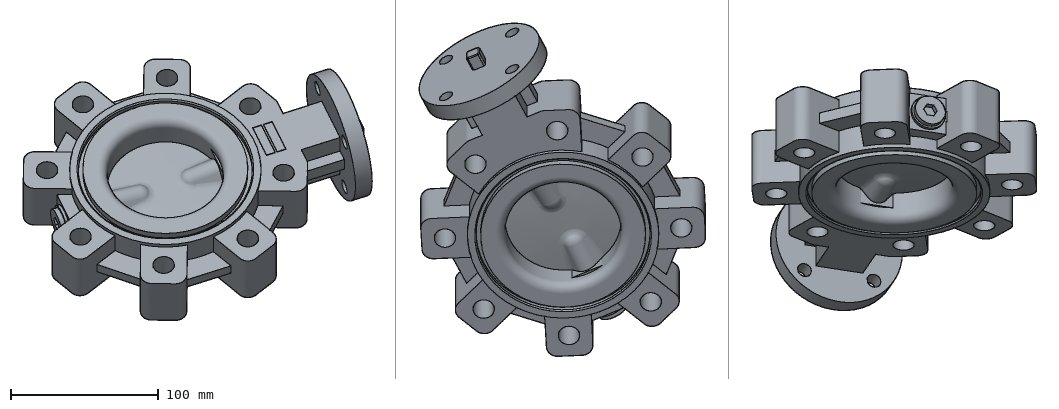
import cadquery as cq
import math


ring_radius = 64.7
ring_half_height = 23.0
liner_radius = 55.8
liner_half_height = 23.8
groove_radius = 58.8
groove_depth = 4.2
groove_chamfer = 1.0
bore_radius = 39.3
bore_rounding = 6.1

overall_length = 235.4

lug_count = 8
lug_pitch = 360 / lug_count
bolt_circle_radius = 80.0
bolt_hole_diameter = 14.4
lug_end_radius = 96.0
lug_half_width = 15.8
lug_corner_radius = 7.8
lug_half_height = 20.2
web_apothem = 79.8
web_thickness = 8.0

lug_angle = math.radians(lug_pitch / 2)
corner_center_along = lug_end_radius - lug_corner_radius
corner_center_across = lug_half_width - lug_corner_radius
lug_reach = (
    corner_center_along * math.cos(lug_angle)
    + corner_center_across * math.sin(lug_angle)
    + lug_corner_radius
)
shoulder_half_width = corner_center_along * math.sin(lug_angle) - corner_center_across * math.cos(lug_angle)

neck_width = 33.5
neck_rib_width = 49.0
neck_rib_thickness = 10.5
flange_radius = 45.0
flange_thickness = 12.2
flange_top = 132.7
flange_base = flange_top - flange_thickness
flange_hole_offset = 24.7
flange_hole_diameter = 9.6

stem_top = overall_length - lug_reach
stem_width = 10.0
stem_edge_chamfer = 1.2
stem_end_chamfer = 0.7

plate_length = 25.2
plate_width = 6.4
plate_height = 0.5
plate_centers = (79.5, 71.8)

boss_width = 26.1
boss_height = 27.5
boss_end = 73.7
collar_radius = 12.0
collar_end = 75.8
plug_radius = 10.5
plug_end = 79.3
socket_across_flats = 8.2
socket_depth = 4.0

disc_edge_half_thickness = 2.1
disc_center_half_thickness = 4.0
seat_flat = 37.7
seat_half_height = 13.5
hub_end = 40.0
hub_nose_center = 18.8
hub_side_slope = 0.87
hub_root_fillet = 5.0
hub_outer_section = (6.4, 8.7, 11.8)
hub_inner_section = (5.6, 6.8, 9.2)


def slab(width, y_start, y_end, height):
    """Box centred on X and Z that spans y_start to y_end."""
    return cq.Workplane("XY").box(width, y_end - y_start, height).translate((0, (y_start + y_end) / 2, 0))


def rod(radius, y_start, y_end):
    """Cylinder along Y."""
    return cq.Workplane("XZ", origin=(0, y_start, 0)).circle(radius).extrude(y_start - y_end)


def make_lugs():
    lugs = slab(2 * shoulder_half_width, 0, lug_reach, 2 * lug_half_height)
    for index in range(lug_count):
        lug = (
            cq.Workplane("XY")
            .box(lug_end_radius, 2 * lug_half_width, 2 * lug_half_height)
            .translate((lug_end_radius / 2, 0, 0))
            .edges("|Z and >X")
            .fillet(lug_corner_radius)
        )
        lugs = lugs.union(lug.rotate((0, 0, 0), (0, 0, 1), (index + 0.5) * lug_pitch))
    return lugs


def make_web():
    octagon = (
        cq.Workplane("XY")
        .polygon(lug_count, 2 * web_apothem, circumscribed=True)
        .extrude(web_thickness / 2, both=True)
    )
    return octagon.intersect(slab(2 * lug_end_radius, -boss_end, web_apothem, web_thickness))


def make_neck():
    neck = slab(neck_width, 0, flange_base, 2 * lug_half_height)
    neck = neck.union(slab(neck_rib_width, 0, flange_base, neck_rib_thickness))
    flange = (
        rod(flange_radius, flange_base, flange_top)
        .faces("<Y")
        .workplane(centerOption="CenterOfBoundBox")
        .rect(2 * flange_hole_offset, 2 * flange_hole_offset, forConstruction=True)
        .vertices()
        .hole(flange_hole_diameter)
    )
    stem = (
        slab(stem_width, flange_base, stem_top, stem_width)
        .edges("|Y")
        .chamfer(stem_edge_chamfer)
        .faces(">Y")
        .chamfer(stem_end_chamfer)
    )
    neck = neck.union(flange).union(stem)
    for center in plate_centers:
        plate = slab(plate_length, center - plate_width / 2, center + plate_width / 2, lug_half_height)
        neck = neck.union(plate.translate((0, 0, lug_half_height / 2 + plate_height)))
    return neck


def make_bottom_plug():
    boss = slab(boss_width, -boss_end, 0, boss_height)
    collar = rod(collar_radius, -collar_end, -boss_end)
    plug = rod(plug_radius, -plug_end, -collar_end)
    socket = (
        cq.Workplane("XZ", origin=(0, -plug_end, 0))
        .polygon(6, socket_across_flats, circumscribed=True)
        .extrude(-socket_depth)
        .rotate((0, 0, 0), (0, 1, 0), 30)
    )
    return boss.union(collar).union(plug).cut(socket)


def make_bore_opening():
    """Bore flared by a rounding tangent to the wall and to both liner faces."""
    flare_radius = bore_radius + bore_rounding
    flare_start = liner_half_height - bore_rounding
    middle = bore_rounding * math.sqrt(0.5)
    return (
        cq.Workplane("XZ")
        .moveTo(0, -liner_half_height)
        .lineTo(flare_radius, -liner_half_height)
        .threePointArc((flare_radius - middle, -flare_start - middle), (bore_radius, -flare_start))
        .lineTo(bore_radius, flare_start)
        .threePointArc((flare_radius - middle, flare_start + middle), (flare_radius, liner_half_height))
        .lineTo(0, liner_half_height)
        .close()
        .revolve(360, (0, 0, 0), (0, 1, 0))
    )


def make_groove():
    """Groove between ring and liner on the upper face, with a chamfered outer rim."""
    return (
        cq.Workplane("XZ")
        .moveTo(liner_radius, ring_half_height - groove_depth)
        .lineTo(groove_radius, ring_half_height - groove_depth)
        .lineTo(groove_radius, ring_half_height - groove_chamfer)
        .lineTo(groove_radius + groove_chamfer, ring_half_height)
        .lineTo(liner_radius, ring_half_height)
        .close()
        .revolve(360, (0, 0, 0), (0, 1, 0))
    )


def make_half_disc():
    """Upper half of the lens-shaped disc, cut flat at the ends of the stem hubs."""
    sagitta = disc_center_half_thickness - disc_edge_half_thickness
    dome_radius = (bore_radius**2 + sagitta**2) / (2 * sagitta)
    dome = cq.Workplane("XY").sphere(dome_radius).translate((0, 0, disc_center_half_thickness - dome_radius))
    blank = cq.Workplane("XY").circle(bore_radius + bore_rounding).extrude(2 * disc_center_half_thickness)
    return blank.intersect(dome).intersect(slab(4 * bore_radius, -hub_end, hub_end, bore_radius))


def hub_section(y, section):
    """Crowned trapezoid standing on the disc mid-plane."""
    half_width, side_height, crown_height = section
    foot = half_width + side_height * hub_side_slope
    return (
        cq.Workplane("XZ", origin=(0, y, 0))
        .moveTo(-foot, 0)
        .lineTo(foot, 0)
        .lineTo(half_width, side_height)
        .threePointArc((0, crown_height), (-half_width, side_height))
        .close()
    )


def make_upper_hub():
    """Tapered hub on the +Y half of the upper disc face, with a round nose."""
    outer = hub_section(hub_end, hub_outer_section).val()
    inner = hub_section(hub_nose_center, hub_inner_section).val()
    barrel = cq.Workplane(cq.Solid.makeLoft([inner, outer], True))
    half_width, side_height, crown_height = hub_inner_section
    crown_rise = crown_height - side_height
    crown_radius = (half_width**2 + crown_rise**2) / (2 * crown_rise)
    nose = (
        cq.Workplane("XZ", origin=(0, hub_nose_center, 0))
        .lineTo(half_width + side_height * hub_side_slope, 0)
        .lineTo(half_width, side_height)
        .radiusArc((0, crown_height), -crown_radius)
        .close()
        .revolve(360, (0, 0, 0), (0, 1, 0))
    )
    return barrel.union(nose)


def is_hub_root(edge):
    """True for the edges where a hub side or nose meets the disc face."""
    center = edge.Center()
    on_hub = abs(center.x) < hub_outer_section[0] + hub_outer_section[1]
    on_disc = disc_edge_half_thickness < center.z < disc_center_half_thickness
    return on_hub and on_disc and edge.geomType() == "BSPLINE"


def make_upper_disc():
    """Upper half of the disc with both hubs, its rim sunk into the liner."""
    hub = make_upper_hub()
    half_disc = make_half_disc().union(hub).union(hub.mirror("XZ"))
    roots = [edge for edge in half_disc.edges().vals() if is_hub_root(edge)]
    return half_disc.newObject(roots).fillet(hub_root_fillet)


def make_seat():
    """Block that gives the bore a flat wall where the stem passes through it."""
    width = 2 * math.sqrt(bore_radius**2 - seat_flat**2)
    return slab(width, seat_flat, bore_radius, 2 * seat_half_height)


ring = cq.Workplane("XY").circle(ring_radius).extrude(ring_half_height, both=True)
liner = cq.Workplane("XY").circle(liner_radius).extrude(liner_half_height, both=True)
groove = make_groove()
bolt_holes = (
    cq.Workplane("XY")
    .polarArray(bolt_circle_radius, lug_pitch / 2, 360, lug_count)
    .circle(bolt_hole_diameter / 2)
    .extrude(lug_half_height, both=True)
)

body = ring.union(liner).union(make_lugs()).union(make_web()).union(make_neck()).union(make_bottom_plug())
body = body.cut(groove).cut(groove.mirror("XY")).cut(make_bore_opening()).cut(bolt_holes)

seat = make_seat()
upper_disc = make_upper_disc()
result = body.union(seat).union(seat.mirror("XZ")).union(upper_disc).union(upper_disc.mirror("XY"))